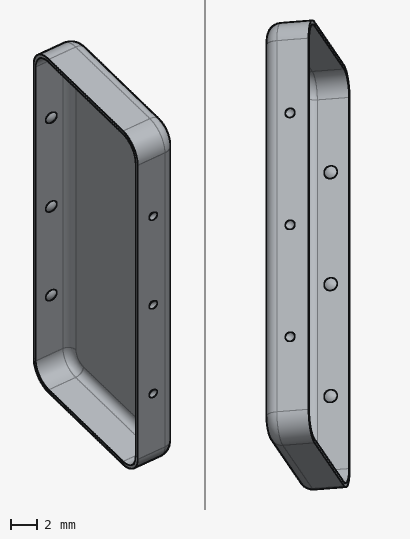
import cadquery as cq
import math

width = 13.9
depth = 3.5
height = 33.9
wall = 0.3
corner_radius = 2.0
floor_edge_radius = 1.02

dimple_spacing = 9.02
dimple_from_rim = 1.42
dimple_center_offset = 0.25
hollow_radius = 0.45
dome_radius = hollow_radius + wall

rim_y = -depth / 2


def rounded_block(inset):
    """Block inset from the outer walls and floor, with rounded corners and floor edge."""
    return (
        cq.Workplane("XZ", origin=(0, rim_y, 0))
        .rect(width - 2 * inset, height - 2 * inset)
        .extrude(-(depth - inset))
        .edges("|Y")
        .fillet(corner_radius - inset)
        .faces(">Y")
        .edges()
        .fillet(floor_edge_radius - inset)
    )


def cap_on_wall(radius, side, row):
    """Sphere cap that bulges inwards, cut flat at the outer face of a long wall."""
    center_x = side * (width / 2 + dimple_center_offset)
    center = (center_x, rim_y + dimple_from_rim, row * dimple_spacing)
    inwards = (-side, 0, 0)
    base_angle = math.degrees(math.asin(dimple_center_offset / radius))
    return cq.Workplane("XY").sphere(radius, direct=inwards, angle1=base_angle, angle2=90).translate(center)


result = rounded_block(0).cut(rounded_block(wall))

for side in (-1, 1):
    for row in (-1, 0, 1):
        dome = cap_on_wall(dome_radius, side, row)
        hollow = cap_on_wall(hollow_radius, side, row)
        result = result.union(dome).cut(hollow)